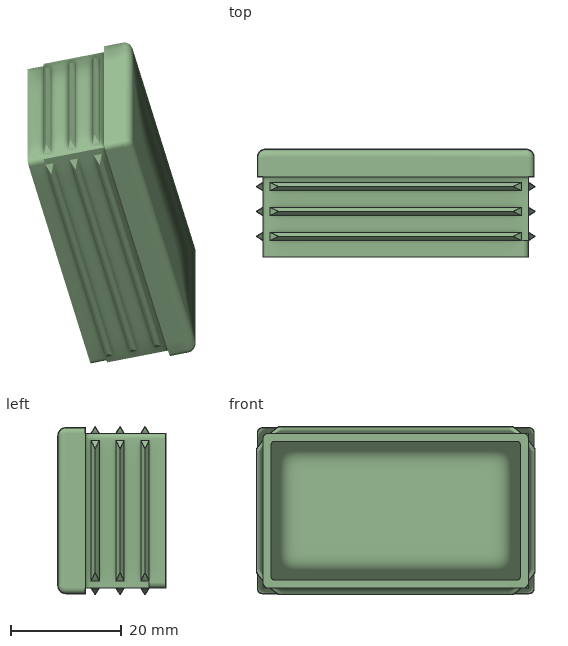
import cadquery as cq

cap_length = 50.0
cap_height = 30.0
cap_thickness = 5.0
cap_corner_radius = 1.0
cap_edge_radius = 1.5
lip = 1.02
sleeve_depth = 14.5
sleeve_corner_radius = 1.0
wall = 1.5
cavity_corner_radius = 0.5
cavity_depth = 16.5
lead_in_length = 3.0

rib_count = 3
rib_pitch = 4.5
rib_width = 1.5
crest_over_cap = 0.175
rib_end_margin = 1.3
rib_end_run = 1.5

sleeve_length = cap_length - 2 * lip
sleeve_height = cap_height - 2 * lip
rib_projection = lip + crest_over_cap
first_rib_y = lead_in_length + rib_width / 2


def block(length, height, y_start, depth):
    """Box centred on the Y axis, starting at y_start and running toward +Y."""
    return cq.Workplane("XY").box(length, depth, height).translate((0, y_start + depth / 2, 0))


def make_cap():
    cap = block(cap_length, cap_height, sleeve_depth, cap_thickness)
    cap = cap.edges("|Y").fillet(cap_corner_radius)
    return cap.faces(">Y").edges().fillet(cap_edge_radius)


def make_sleeve():
    """Sleeve with one corner rounded all along and the others only at the open end."""
    lead_in = block(sleeve_length, sleeve_height, 0, lead_in_length)
    lead_in = lead_in.edges("|Y").fillet(sleeve_corner_radius)
    shank = block(sleeve_length, sleeve_height, lead_in_length, sleeve_depth - lead_in_length)
    shank = shank.edges("|Y and <X and >Z").fillet(sleeve_corner_radius)
    return lead_in.union(shank)


def make_cavity():
    cavity = block(sleeve_length - 2 * wall, sleeve_height - 2 * wall, 0, cavity_depth)
    return cavity.edges("|Y").fillet(cavity_corner_radius)


def make_rib(side_length, y_center):
    """Sharp-crested rib along X on the plane Z = 0, with sloping ends."""
    half_foot = side_length / 2 - rib_end_margin
    half_crest = half_foot - rib_end_run
    half_width = rib_width / 2
    prism = (
        cq.Workplane("YZ", origin=(-half_foot, 0, 0))
        .polyline([(-half_width, 0), (half_width, 0), (0, rib_projection)])
        .close()
        .extrude(2 * half_foot)
    )
    sloped_outline = [
        (-half_foot, 0),
        (half_foot, 0),
        (half_crest, rib_projection),
        (-half_crest, rib_projection),
    ]
    end_profile = (
        cq.Workplane("XZ", origin=(0, half_width, 0))
        .polyline(sloped_outline)
        .close()
        .extrude(rib_width)
    )
    return prism.intersect(end_profile).translate((0, y_center, 0))


def add_ribs(body):
    """Place a row of ribs on each of the four sleeve faces."""
    sides = [
        (sleeve_length, sleeve_height / 2, 0),
        (sleeve_height, sleeve_length / 2, 90),
        (sleeve_length, sleeve_height / 2, 180),
        (sleeve_height, sleeve_length / 2, 270),
    ]
    for side_length, face_offset, angle in sides:
        for index in range(rib_count):
            rib = make_rib(side_length, first_rib_y + index * rib_pitch)
            rib = rib.translate((0, 0, face_offset))
            body = body.union(rib.rotate((0, 0, 0), (0, 1, 0), angle))
    return body


body = make_cap().union(make_sleeve())
result = add_ribs(body).cut(make_cavity())